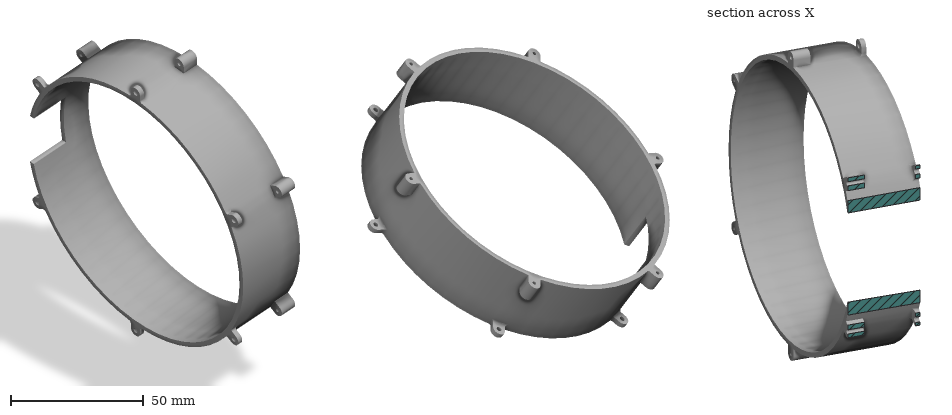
import cadquery as cq

ring_outer_diameter = 116.0
ring_inner_diameter = 112.0
ring_length = 30.0
front_y = -ring_length / 2
back_y = ring_length / 2
ring_outer_radius = ring_outer_diameter / 2
ring_mid_radius = (ring_outer_diameter + ring_inner_diameter) / 4

overall_height = 127.1
lug_count = 6
lug_width = 5.1
lug_round_radius = lug_width / 2
screw_radius = overall_height / 2 - lug_round_radius
front_lug_length = 2.0
back_lug_length = 7.0
front_hole_diameter = 2.0
back_hole_diameter = 1.5
lug_root_fillet = 0.9

notch_width = 23.4
notch_depth = 17.0


def cylinder(diameter, length, start_y, z=0):
    """Cylinder along +Y, starting at start_y, raised to height z."""
    start = cq.Vector(0, start_y, z)
    return cq.Workplane(cq.Solid.makeCylinder(diameter / 2, length, start, cq.Vector(0, 1, 0)))


def lug(length, start_y):
    """Round-ended lug at the top of the ring, rooted inside the wall."""
    root_height = screw_radius - ring_mid_radius
    root = cq.Workplane().box(lug_width, length, root_height, centered=(True, False, False))
    root = root.translate((0, start_y, ring_mid_radius))
    return root.union(cylinder(lug_width, length, start_y, z=screw_radius))


def around_ring(shape):
    """Copies of a shape at every lug angle."""
    return [shape.rotate((0, 0, 0), (0, 1, 0), i * 360 / lug_count) for i in range(lug_count)]


def filleted_front_lug():
    """Front lug on a solid drum, with its root blended into the drum on the sides and back."""
    drum = cylinder(ring_outer_diameter, ring_length, front_y)
    blended = drum.union(lug(front_lug_length, front_y))
    edge_margin = 0.3
    root_zone = cq.selectors.BoxSelector(
        (-lug_width / 2 - edge_margin, front_y, ring_outer_radius - 2 * edge_margin),
        (lug_width / 2 + edge_margin, front_y + front_lug_length + edge_margin,
         ring_outer_radius + edge_margin),
    )
    blended = blended.edges(root_zone).fillet(lug_root_fillet)
    return blended.cut(cylinder(2 * ring_mid_radius, ring_length, front_y))


def notch():
    """Box that opens the wall from the front rim, straight along X."""
    box = cq.Workplane().box(ring_outer_radius, notch_depth, notch_width, centered=(False, False, True))
    return box.translate((-ring_outer_radius, front_y, 0))


result = cylinder(ring_outer_diameter, ring_length, front_y)
result = result.cut(cylinder(ring_inner_diameter, ring_length, front_y))

for front_lug in around_ring(filleted_front_lug()):
    result = result.union(front_lug)
for back_lug in around_ring(lug(back_lug_length, back_y - back_lug_length)):
    result = result.union(back_lug)

front_hole = cylinder(front_hole_diameter, front_lug_length, front_y, z=screw_radius)
back_hole = cylinder(back_hole_diameter, back_lug_length, back_y - back_lug_length, z=screw_radius)
for hole in around_ring(front_hole) + around_ring(back_hole):
    result = result.cut(hole)

result = result.cut(notch())